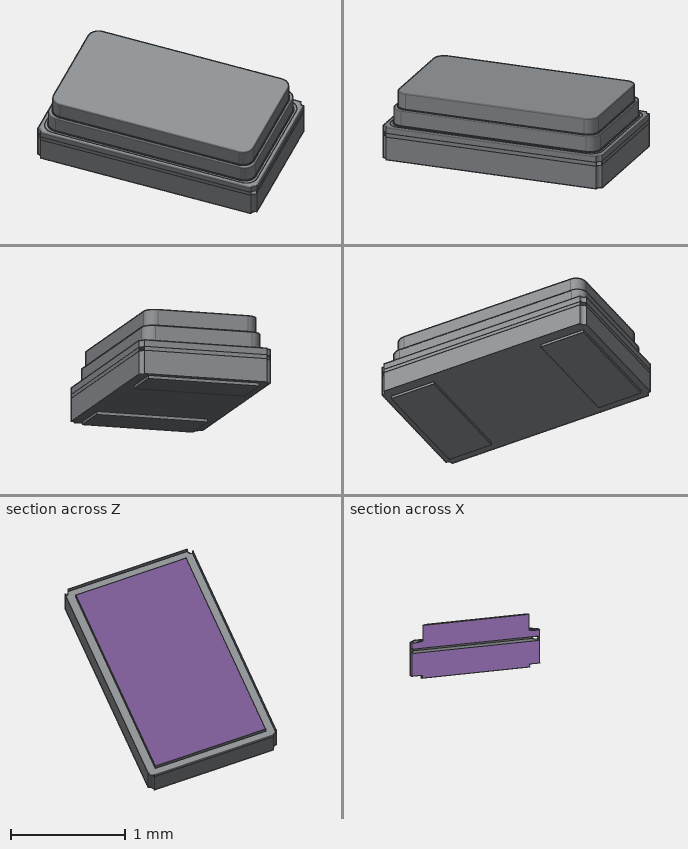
import cadquery as cq

length = 2.05
width = 1.2
pad_height = 0.027
base_top = 0.33
edge_round = 0.006

ring_inset = 0.035
ring_height = 0.002
ring_round = 0.0018
ring_corner_radius = 0.102

lower_tier_inset = 0.062
lower_tier_top = 0.48
upper_tier_inset = 0.09
upper_tier_top = 0.63
tier_corner_radius = 0.098

flange_height = 0.006
flange_margin = 0.008

notch_radius = 0.04
channel_bottom = 0.235
channel_top = 0.27
wall_thickness = 0.006
channel_depth = 0.082

pad_length = 0.426
pad_inset_x = lower_tier_inset
pad_inset_y = 0.095


def slab(inset, bottom, top, corner_radius=0):
    """Slab set in equally on every side of the base outline, with optional round corners."""
    body = (
        cq.Workplane("XY")
        .workplane(offset=bottom)
        .rect(length - 2 * inset, width - 2 * inset)
        .extrude(top - bottom)
    )
    if corner_radius > 0:
        body = body.edges("|Z").fillet(corner_radius)
    return body


def corner_posts(radius, bottom, top):
    """Round posts centred on the four corners of the base outline."""
    return (
        cq.Workplane("XY")
        .workplane(offset=bottom)
        .rect(length, width, forConstruction=True)
        .vertices()
        .circle(radius)
        .extrude(top - bottom)
    )


def base():
    body = slab(0, pad_height, base_top)
    body = body.cut(corner_posts(notch_radius, pad_height, base_top))
    body = body.faces(">Z").edges().fillet(edge_round)
    channel = slab(wall_thickness, channel_bottom, channel_top)
    channel = channel.cut(slab(channel_depth, channel_bottom, channel_top))
    return body.cut(channel)


def seal_ring():
    ring = slab(ring_inset, base_top, base_top + ring_height, ring_corner_radius)
    return ring.faces(">Z").edges().fillet(ring_round)


def lid_tier(inset, bottom, top):
    """Round-cornered tier with a rounded top edge, standing on a slightly wider flange."""
    body = slab(inset, bottom, top, tier_corner_radius).faces(">Z").edges().fillet(edge_round)
    flange_radius = tier_corner_radius + flange_margin
    flange = slab(inset - flange_margin, bottom, bottom + flange_height, flange_radius)
    return body.union(flange)


def pads():
    center_x = length / 2 - pad_inset_x - pad_length / 2
    return (
        cq.Workplane("XY")
        .pushPoints([(-center_x, 0), (center_x, 0)])
        .rect(pad_length, width - 2 * pad_inset_y)
        .extrude(pad_height)
    )


lower_tier = lid_tier(lower_tier_inset, base_top + ring_height, lower_tier_top)
upper_tier = lid_tier(upper_tier_inset, lower_tier_top, upper_tier_top)

result = base().union(seal_ring()).union(lower_tier).union(upper_tier).union(pads())